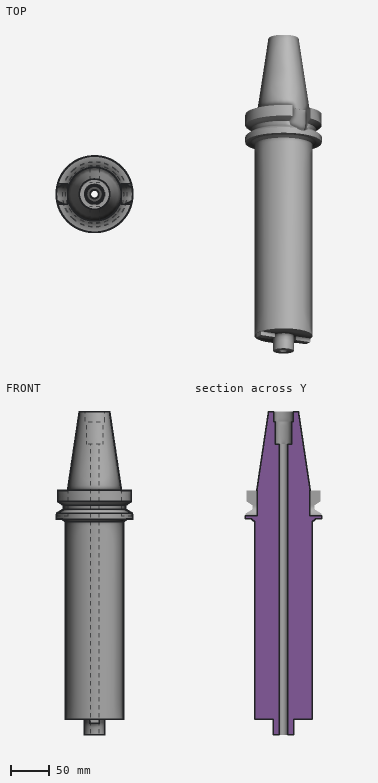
import cadquery as cq

total_height = 422.0
body_bottom = 20.2
flange_top = 319.0
taper_collar_height = 1.3
upper_rim_height = 14.5
groove_floor_height = 5.5
lower_rim_height = 7.5
groove_bevel_height = 5.0
under_cone_height = 3.5

spigot_radius = 13.5
body_radius = 38.0
flange_radius = 100.0 / 2
under_cone_radius = 42.0
groove_radius = 42.5
taper_base_radius = 35.0
taper_tip_radius = 20.0

through_radius = 5.5
socket_radius = 10.5
mouth_radius = 12.5
mouth_depth = 13.0
socket_depth = 42.0

slot_width = 26.5
slot_depth = 33.0
slot_floor_x = 34.5

key_width = 12.0
key_height = 5.0
key_inner_y = 15.5
key_outer_y = 36.5


def turned_body():
    """Spigot, long body, grooved flange and taper in one revolved outline."""
    groove_top = flange_top - upper_rim_height
    floor_top = groove_top - groove_bevel_height
    floor_bottom = floor_top - groove_floor_height
    lower_rim_top = floor_bottom - groove_bevel_height
    lower_rim_bottom = lower_rim_top - lower_rim_height
    outline = [
        (0, 0),
        (spigot_radius, 0),
        (spigot_radius, body_bottom),
        (body_radius, body_bottom),
        (body_radius, lower_rim_bottom - under_cone_height),
        (under_cone_radius, lower_rim_bottom),
        (flange_radius, lower_rim_bottom),
        (flange_radius, lower_rim_top),
        (groove_radius, floor_bottom),
        (groove_radius, floor_top),
        (flange_radius, groove_top),
        (flange_radius, flange_top),
        (taper_base_radius, flange_top),
        (taper_base_radius, flange_top + taper_collar_height),
        (taper_tip_radius, total_height),
        (0, total_height),
    ]
    return cq.Workplane("XZ").polyline(outline).close().revolve(360, (0, 0), (0, 1))


def stepped_bore():
    """Through hole with a socket and a wider mouth at the taper tip."""
    def bore(radius, depth):
        return cq.Workplane("XY").workplane(offset=total_height - depth).circle(radius).extrude(depth)

    return (
        bore(through_radius, total_height)
        .union(bore(socket_radius, socket_depth))
        .union(bore(mouth_radius, mouth_depth))
    )


def drive_slot(side):
    """Slot with a round lower end, open to the rim and the flange top."""
    slot_radius = slot_width / 2
    arc_height = flange_top - slot_depth + slot_radius
    return (
        cq.Workplane("YZ")
        .workplane(offset=side * slot_floor_x)
        .moveTo(-slot_radius, flange_top)
        .lineTo(-slot_radius, arc_height)
        .threePointArc((0, flange_top - slot_depth), (slot_radius, arc_height))
        .lineTo(slot_radius, flange_top)
        .close()
        .extrude(side * flange_radius)
    )


def drive_key(side):
    """Block standing below the body end face."""
    middle_y = side * (key_inner_y + key_outer_y) / 2
    return (
        cq.Workplane("XY")
        .workplane(offset=body_bottom)
        .center(0, middle_y)
        .rect(key_width, key_outer_y - key_inner_y)
        .extrude(-key_height)
    )


result = turned_body().cut(stepped_bore())
for side in (-1, 1):
    result = result.cut(drive_slot(side)).union(drive_key(side))